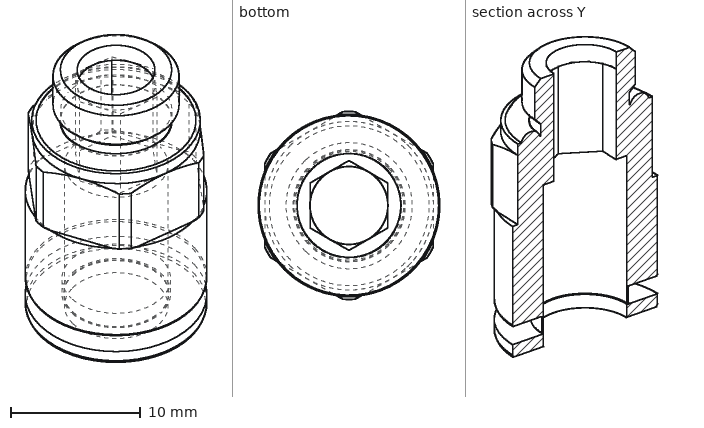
import cadquery as cq
import math

total_height = 23.5
body_diameter = 14.0

ring_height = 1.15
ring_chamfer_width = 0.1
ring_chamfer_height = 0.24
sleeve_diameter = 8.4
relief_diameter = 8.1
relief_height = 0.1

body_bottom = 2.68
body_chamfer_width = 0.07
body_chamfer_height = 0.16

hex_bottom = 11.47
hex_top = 17.5
hex_across_flats = 13.0
hex_corner_diameter = 14.5
hex_chamfer_angle = 30.0
hex_lower_chamfer_height = 0.12
collar_top = 18.5

seal_diameter = 12.4
seal_top = 19.18

thread_diameter = 9.73
neck_diameter = 8.58
thread_bottom = 20.1
thread_chamfer = (thread_diameter - neck_diameter) / 2

bore_diameter = 6.0
bore_depth = 1.5
socket_across_flats = bore_diameter
tube_diameter = 8.0
tube_depth = 14.1


def revolve_profile(points):
    """Revolve a closed (radius, height) outline about the Z axis."""
    return cq.Workplane("XZ").polyline(points).close().revolve(360, (0, 0), (0, 1))


def cylinder(diameter, bottom, top):
    return cq.Workplane("XY").workplane(offset=bottom).circle(diameter / 2).extrude(top - bottom)


def hexagonal_prism(across_flats, bottom, top):
    """Hexagonal prism with two flats facing +X and -X."""
    corner_diameter = across_flats / math.cos(math.radians(30))
    prism = cq.Workplane("XY").workplane(offset=bottom).polygon(6, corner_diameter).extrude(top - bottom)
    return prism.rotate((0, 0, 0), (0, 0, 1), 30)


def make_release_ring():
    radius = body_diameter / 2
    flange = revolve_profile([
        (0, 0),
        (radius - ring_chamfer_width, 0),
        (radius, ring_chamfer_height),
        (radius, ring_height),
        (0, ring_height),
    ])
    relief_top = ring_height + relief_height
    relief = cylinder(relief_diameter, ring_height, relief_top)
    sleeve = cylinder(sleeve_diameter, relief_top, body_bottom)
    return flange.union(relief).union(sleeve)


def make_body():
    radius = body_diameter / 2
    return revolve_profile([
        (0, body_bottom),
        (radius - body_chamfer_width, body_bottom),
        (radius, body_bottom + body_chamfer_height),
        (radius, hex_bottom),
        (0, hex_bottom),
    ])


def make_hexagon():
    """Hexagon with rounded corners and conical chamfers at both ends."""
    slope = math.tan(math.radians(hex_chamfer_angle))
    corner_radius = hex_corner_diameter / 2
    flat_radius = hex_across_flats / 2
    upper_chamfer_height = (corner_radius - flat_radius) * slope
    envelope = revolve_profile([
        (0, hex_bottom),
        (corner_radius - hex_lower_chamfer_height / slope, hex_bottom),
        (corner_radius, hex_bottom + hex_lower_chamfer_height),
        (corner_radius, hex_top - upper_chamfer_height),
        (flat_radius, hex_top),
        (0, hex_top),
    ])
    return hexagonal_prism(hex_across_flats, hex_bottom, hex_top).intersect(envelope)


def make_seal():
    """Sealing ring of round section that fits around the neck, sunk into the collar."""
    section_radius = (seal_diameter - neck_diameter) / 4
    centre_radius = neck_diameter / 2 + section_radius
    centre_height = seal_top - section_radius
    section = cq.Workplane("XZ").center(centre_radius, centre_height).circle(section_radius)
    return section.revolve(360, (-centre_radius, 0), (-centre_radius, 1))


def make_threaded_end():
    neck_radius = neck_diameter / 2
    thread_radius = thread_diameter / 2
    return revolve_profile([
        (0, collar_top),
        (neck_radius, collar_top),
        (neck_radius, thread_bottom - thread_chamfer),
        (thread_radius, thread_bottom),
        (thread_radius, total_height - thread_chamfer),
        (neck_radius, total_height),
        (0, total_height),
    ])


def make_passage():
    """Tube bore from below, hexagonal socket in the middle, round bore at the top."""
    socket_top = total_height - bore_depth
    tube_bore = cylinder(tube_diameter, 0, tube_depth)
    socket = hexagonal_prism(socket_across_flats, tube_depth, socket_top)
    bore = cylinder(bore_diameter, socket_top, total_height)
    return tube_bore.union(socket).union(bore)


collar = cylinder(hex_across_flats, hex_top, collar_top)

result = (
    make_release_ring()
    .union(make_body())
    .union(make_hexagon())
    .union(collar)
    .union(make_seal())
    .union(make_threaded_end())
    .cut(make_passage())
)